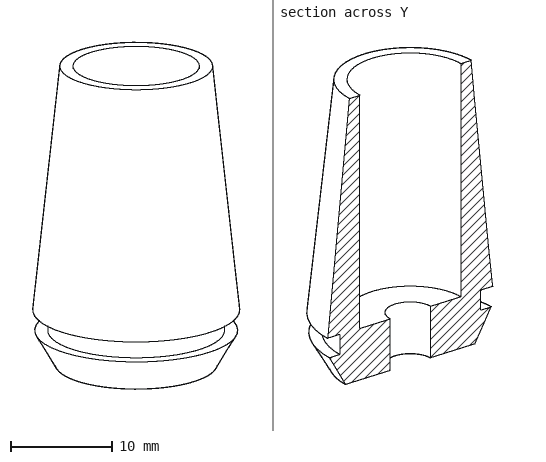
import cadquery as cq
import math

total_height = 31.0
body_max_diameter = 20.5
body_top_diameter = 15.13

nose_height = 3.5
nose_max_diameter = 20.1
nose_half_angle = 30.0
groove_width = 2.15
groove_diameter = 17.48

upper_bore_diameter = 12.5
through_hole_diameter = 5.0

groove_top = nose_height + groove_width
nose_max_radius = nose_max_diameter / 2
nose_bottom_radius = nose_max_radius - nose_height * math.tan(math.radians(nose_half_angle))


def outer_body():
    """Revolve the tapered body, groove and conical nose about Z."""
    profile = (
        cq.Workplane("XZ")
        .lineTo(nose_bottom_radius, 0)
        .lineTo(nose_max_radius, nose_height)
        .lineTo(groove_diameter / 2, nose_height)
        .lineTo(groove_diameter / 2, groove_top)
        .lineTo(body_max_diameter / 2, groove_top)
        .lineTo(body_top_diameter / 2, total_height)
        .lineTo(0, total_height)
        .close()
    )
    return profile.revolve(360, (0, 0, 0), (0, 1, 0))


def bore(diameter, bottom):
    """Cylinder on the axis, from the given height to the top of the part."""
    return cq.Workplane("XY").workplane(offset=bottom).circle(diameter / 2).extrude(total_height - bottom)


result = (
    outer_body()
    .cut(bore(through_hole_diameter, 0))
    .cut(bore(upper_bore_diameter, groove_top))
)